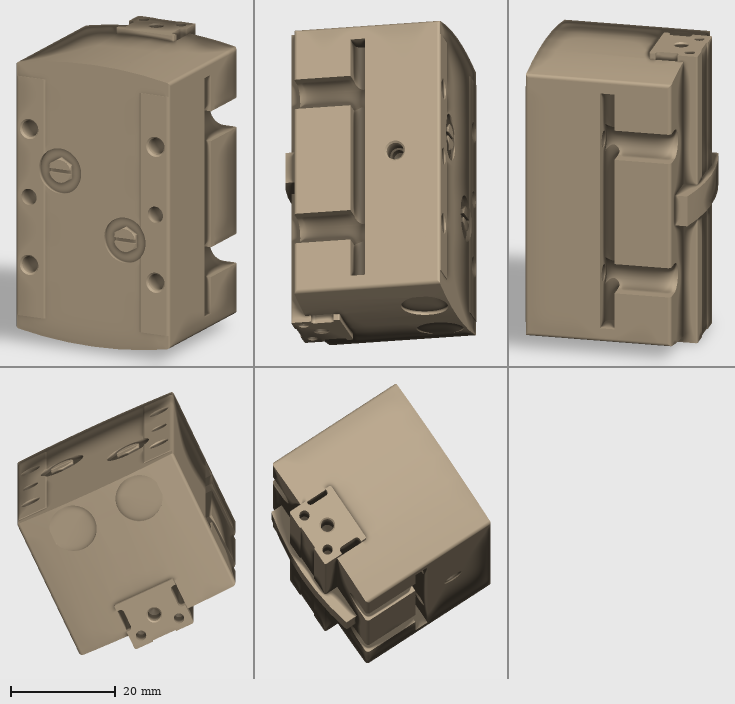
import cadquery as cq
import math


WIDTH = 33.0
BACK_Y = 12.35
PAD_FACE_Y = -16.35
APEX_Z = 28.0
SHOULDER_Z = 26.4
EDGE_RADIUS = 0.7

PAD_HALF_LENGTH = 23.8
PAD_HEIGHT = 0.2
FRONT_Y = PAD_FACE_Y + PAD_HEIGHT
PAD_INNER_X = 10.1
PAD_INNER_SLOPE = 0.4

MOUNT_X = 13.6
MOUNT_Z = 13.5
MOUNT_DIAMETER = 3.3
MOUNT_MOUTH_DIAMETER = 4.0
DOWEL_DIAMETER = 3.25
DOWEL_DEPTH = 4.65

BOLT_CHANNEL_RADIUS = 2.95
BOLT_SEAT_Y = -1.55
SENSOR_SLOT_WIDTH = 2.85
SENSOR_SLOT_FLOOR_X = 11.2
SENSOR_SLOT_HALF_LENGTH = PAD_HALF_LENGTH

SIDE_HOLE_Y = -7.4
SIDE_HOLE_Z = 0.8
SIDE_HOLE_MOUTH_DIAMETER = 4.0
SIDE_HOLE_DIAMETER = 3.3
SIDE_HOLE_DEPTH = 3.5
SIDE_PILOT_DIAMETER = 2.45
SIDE_PILOT_DEPTH = 5.2

PORT_DIAMETER = 9.0
PORT_X = 6.95
PORT_Z = 6.0
PORT_FLOOR_Y = -15.4
BOTTOM_PORT_Y = -11.2
BOTTOM_PORT_FLOOR_Z = -27.25
PLUG_DIAMETER = 5.5
PLUG_DEPTH = 3.5
HEX_ACROSS_FLATS = 4.5
HEX_TURN = 30.0
HEX_TOP_DIAMETER = HEX_ACROSS_FLATS
HEX_CORNER_BEVEL = 0.25
SCREW_SLOT_WIDTH = 0.8
SCREW_SLOT_DEPTH = 0.7

JAW_END_Z = 29.0
JAW_WIDTH = 12.4
JAW_BOTTOM_Y = 5.6
JAW_TOP_Y = 15.15
JAW_CORNER_RADIUS = 0.35
JAW_NOTCH_DEPTH = 1.2
JAW_NOTCH_BOTTOM_Y = 6.85
JAW_NOTCH_TOP_Y = 11.25
JAW_NOTCH_RADIUS = 0.7
JAW_GROOVE_WIDTH = 4.9
JAW_GROOVE_DEPTH = 0.25
JAW_PIN_X = 4.0
JAW_PIN_Y = 13.1
JAW_PIN_DIAMETER = 2.0
JAW_SCREW_Y = 10.5
JAW_SCREW_MOUTH_DIAMETER = 3.0
JAW_SCREW_DIAMETER = 2.5
JAW_HOLE_DEPTH = 5.2

COVER_HALF_WIDTH = 13.0
COVER_HALF_HEIGHT = 3.0
COVER_EDGE_Y = 14.75
COVER_APEX_Y = 16.35

DRILL_TIP_ANGLE = 118.0
SIDES = (-1, 1)


def cylinder(point, direction, diameter, length):
    return cq.Workplane(cq.Solid.makeCylinder(diameter / 2, length, cq.Vector(*point), cq.Vector(*direction)))


def cone(point, direction, start_diameter, end_diameter, length):
    start_radius = start_diameter / 2
    end_radius = end_diameter / 2
    return cq.Workplane(
        cq.Solid.makeCone(start_radius, end_radius, length, cq.Vector(*point), cq.Vector(*direction))
    )


def drilled_hole(point, direction, diameter, depth):
    """Blind hole with a conical drill tip."""
    tip_length = diameter / 2 / math.tan(math.radians(DRILL_TIP_ANGLE / 2))
    tip_point = (cq.Vector(*point) + cq.Vector(*direction) * depth).toTuple()
    tip = cone(tip_point, direction, diameter, 0, tip_length)
    return cylinder(point, direction, diameter, depth).union(tip)


def countersink(point, direction, mouth_diameter, hole_diameter):
    """45-degree chamfer at the mouth of a hole."""
    return cone(point, direction, mouth_diameter, hole_diameter, (mouth_diameter - hole_diameter) / 2)


def box(x_range, y_range, z_range):
    sizes = [high - low for low, high in (x_range, y_range, z_range)]
    corner = (x_range[0], y_range[0], z_range[0])
    return cq.Workplane("XY").box(*sizes, centered=False).translate(corner)


def housing_block():
    """Domed block up to the pad faces, with rounded edges around both sides."""
    half = WIDTH / 2
    block = (
        cq.Workplane("XZ", origin=(0, BACK_Y, 0))
        .moveTo(-half, -SHOULDER_Z)
        .threePointArc((0, -APEX_Z), (half, -SHOULDER_Z))
        .lineTo(half, SHOULDER_Z)
        .threePointArc((0, APEX_Z), (-half, SHOULDER_Z))
        .close()
        .extrude(BACK_Y - PAD_FACE_Y)
    )
    return block.faces("<X or >X").edges().fillet(EDGE_RADIUS)


def front_relief():
    """Layer cut from the front so that the pads stand proud; the cut passes beyond the block all round."""
    narrow_half = PAD_INNER_X
    wide_half = PAD_INNER_X + PAD_INNER_SLOPE
    between_pads = (
        cq.Workplane("XY", origin=(0, 0, -JAW_END_Z))
        .polyline([
            (-narrow_half, FRONT_Y),
            (narrow_half, FRONT_Y),
            (wide_half, PAD_FACE_Y),
            (wide_half, PAD_FACE_Y - PAD_HEIGHT),
            (-wide_half, PAD_FACE_Y - PAD_HEIGHT),
            (-wide_half, PAD_FACE_Y),
        ])
        .close()
        .extrude(2 * JAW_END_Z)
    )
    y_range = (PAD_FACE_Y - PAD_HEIGHT, FRONT_Y)
    above_pads = box((-WIDTH, WIDTH), y_range, (PAD_HALF_LENGTH, JAW_END_Z))
    below_pads = box((-WIDTH, WIDTH), y_range, (-JAW_END_Z, -PAD_HALF_LENGTH))
    return between_pads.union(above_pads).union(below_pads)


def jaw_channel():
    """Guide channel for the jaws, open at both ends and at the back."""
    channel = box(
        (-JAW_WIDTH / 2, JAW_WIDTH / 2), (JAW_BOTTOM_Y, JAW_TOP_Y), (-JAW_END_Z, JAW_END_Z)
    )
    return channel.edges("|Z and <Y").fillet(JAW_CORNER_RADIUS)


def mount_hole(side, z):
    """Through hole with its bolt-head channel, which opens to the side and the back."""
    x = side * MOUNT_X
    depth = BACK_Y - BOLT_SEAT_Y
    mouth = (x, PAD_FACE_Y, z)
    outer_x = side * WIDTH / 2
    bolt_opening = box(
        (min(x, outer_x), max(x, outer_x)),
        (BOLT_SEAT_Y, BACK_Y),
        (z - BOLT_CHANNEL_RADIUS, z + BOLT_CHANNEL_RADIUS),
    )
    return (
        cylinder(mouth, (0, 1, 0), MOUNT_DIAMETER, BACK_Y - PAD_FACE_Y)
        .union(countersink(mouth, (0, 1, 0), MOUNT_MOUTH_DIAMETER, MOUNT_DIAMETER))
        .union(cylinder((x, BOLT_SEAT_Y, z), (0, 1, 0), 2 * BOLT_CHANNEL_RADIUS, depth))
        .union(bolt_opening)
    )


def sensor_slot(side):
    """Round-bottomed slot along Z, cut into the side."""
    radius = SENSOR_SLOT_WIDTH / 2
    center_x = side * (SENSOR_SLOT_FLOOR_X + radius)
    center_y = BOLT_SEAT_Y + radius
    outer_x = side * WIDTH / 2
    z_range = (-SENSOR_SLOT_HALF_LENGTH, SENSOR_SLOT_HALF_LENGTH)
    opening = box(
        (min(center_x, outer_x), max(center_x, outer_x)),
        (BOLT_SEAT_Y, BOLT_SEAT_Y + SENSOR_SLOT_WIDTH),
        z_range,
    )
    floor_end = (center_x, center_y, -SENSOR_SLOT_HALF_LENGTH)
    floor = cylinder(floor_end, (0, 0, 1), SENSOR_SLOT_WIDTH, 2 * SENSOR_SLOT_HALF_LENGTH)
    return opening.union(floor)


def side_hole():
    mouth = (-WIDTH / 2, SIDE_HOLE_Y, SIDE_HOLE_Z)
    inward = (1, 0, 0)
    return (
        cylinder(mouth, inward, SIDE_HOLE_DIAMETER, SIDE_HOLE_DEPTH)
        .union(countersink(mouth, inward, SIDE_HOLE_MOUTH_DIAMETER, SIDE_HOLE_DIAMETER))
        .union(drilled_hole(mouth, inward, SIDE_PILOT_DIAMETER, SIDE_PILOT_DEPTH))
    )


def front_port(x, z):
    """Round recess with the hole for the plug screw in its floor."""
    recess = cylinder((x, PAD_FACE_Y, z), (0, 1, 0), PORT_DIAMETER, PORT_FLOOR_Y - PAD_FACE_Y)
    return recess.union(cylinder((x, PORT_FLOOR_Y, z), (0, 1, 0), PLUG_DIAMETER, PLUG_DEPTH))


def bottom_port(x):
    """Flat spot face in the lower dome."""
    depth = APEX_Z + BOTTOM_PORT_FLOOR_Z
    return cylinder((x, BOTTOM_PORT_Y, -APEX_Z), (0, 0, 1), PORT_DIAMETER, depth)


def make_housing():
    body = housing_block().cut(front_relief()).cut(jaw_channel())
    for side in SIDES:
        for z in (-MOUNT_Z, MOUNT_Z):
            body = body.cut(mount_hole(side, z))
        body = body.cut(sensor_slot(side))
        body = body.cut(drilled_hole((side * MOUNT_X, PAD_FACE_Y, 0), (0, 1, 0), DOWEL_DIAMETER, DOWEL_DEPTH))
        body = body.cut(front_port(side * PORT_X, -side * PORT_Z))
        body = body.cut(bottom_port(side * PORT_X))
    return body.cut(side_hole())


def make_plug_screw(x, z):
    """Plug with a slotted hexagon head whose corners are bevelled."""
    head_height = PORT_FLOOR_Y - PAD_FACE_Y
    across_corners = HEX_ACROSS_FLATS / math.cos(math.pi / 6)
    hexagon = (
        cq.Workplane("XZ", origin=(0, PORT_FLOOR_Y, 0))
        .polygon(6, across_corners)
        .extrude(head_height)
        .rotate((0, 0, 0), (0, 1, 0), HEX_TURN)
    )
    straight_height = head_height - HEX_CORNER_BEVEL
    bevel_y = PORT_FLOOR_Y - straight_height
    envelope = cylinder((0, PORT_FLOOR_Y, 0), (0, -1, 0), across_corners, straight_height).union(
        cone((0, bevel_y, 0), (0, -1, 0), across_corners, HEX_TOP_DIAMETER, HEX_CORNER_BEVEL)
    )
    slot = box(
        (-across_corners, across_corners),
        (PAD_FACE_Y, PAD_FACE_Y + SCREW_SLOT_DEPTH),
        (-SCREW_SLOT_WIDTH / 2, SCREW_SLOT_WIDTH / 2),
    )
    plug = cylinder((0, PORT_FLOOR_Y, 0), (0, 1, 0), PLUG_DIAMETER, PLUG_DEPTH)
    return hexagon.intersect(envelope).cut(slot).union(plug).translate((x, 0, z))


def make_jaw(end):
    """Jaw at the +Z end (end = 1) or its mirror image at the -Z end (end = -1)."""
    half = JAW_WIDTH / 2
    inward = (0, 0, -1)
    z_range = (COVER_HALF_HEIGHT, JAW_END_Z)
    jaw = box((-half, half), (JAW_BOTTOM_Y, JAW_TOP_Y), z_range).edges("|Z").fillet(JAW_CORNER_RADIUS)
    for side in SIDES:
        notch = box(
            (-JAW_NOTCH_DEPTH, JAW_NOTCH_DEPTH), (JAW_NOTCH_BOTTOM_Y, JAW_NOTCH_TOP_Y), z_range
        ).edges("|Z").fillet(JAW_NOTCH_RADIUS)
        jaw = jaw.cut(notch.translate((side * half, 0, 0)))
        pin_mouth = (side * JAW_PIN_X, JAW_PIN_Y, JAW_END_Z)
        jaw = jaw.cut(drilled_hole(pin_mouth, inward, JAW_PIN_DIAMETER, JAW_HOLE_DEPTH))
    groove = box(
        (-JAW_GROOVE_WIDTH / 2, JAW_GROOVE_WIDTH / 2), (JAW_TOP_Y - JAW_GROOVE_DEPTH, JAW_TOP_Y), z_range
    )
    screw_mouth = (0, JAW_SCREW_Y, JAW_END_Z)
    jaw = (
        jaw.cut(groove)
        .cut(drilled_hole(screw_mouth, inward, JAW_SCREW_DIAMETER, JAW_HOLE_DEPTH))
        .cut(countersink(screw_mouth, inward, JAW_SCREW_MOUTH_DIAMETER, JAW_SCREW_DIAMETER))
    )
    return jaw if end > 0 else jaw.mirror("XY")


def make_cover():
    return (
        cq.Workplane("XY", origin=(0, 0, -COVER_HALF_HEIGHT))
        .moveTo(-COVER_HALF_WIDTH, BACK_Y)
        .lineTo(COVER_HALF_WIDTH, BACK_Y)
        .lineTo(COVER_HALF_WIDTH, COVER_EDGE_Y)
        .threePointArc((0, COVER_APEX_Y), (-COVER_HALF_WIDTH, COVER_EDGE_Y))
        .close()
        .extrude(2 * COVER_HALF_HEIGHT)
    )


housing = make_housing()
plug_screws = [make_plug_screw(side * PORT_X, -side * PORT_Z) for side in SIDES]
jaws = [make_jaw(end) for end in SIDES]
cover = make_cover()

result = cq.Compound.makeCompound([
    housing.val(),
    *[screw.val() for screw in plug_screws],
    *[jaw.val() for jaw in jaws],
    cover.val(),
])